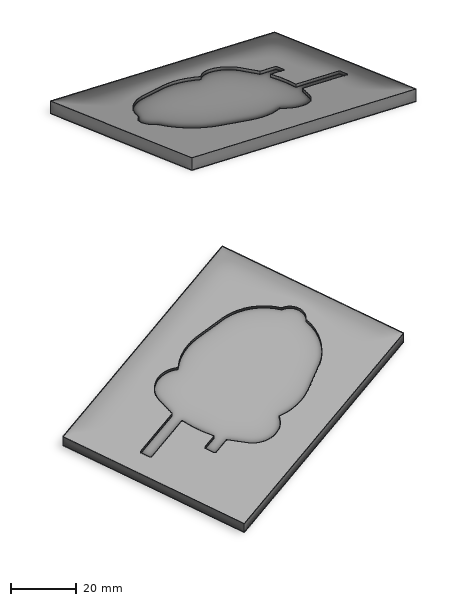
import cadquery as cq

PLATE_WIDTH = 66.0
PLATE_LENGTH = 91.5
PLATE_THICKNESS = 4.1

RECESS_DEPTH = 1.0
ACORN_AXIS_X = -0.3

CAP_TOP = (0, 21.0)
CAP_TOP_EDGE = (9.9, 19.9)
CAP_SHOULDER = (16.4, 17.3)
CAP_WIDEST = (21.3, 9.6)
NECK = (18.4, 3.1)
NUT_WIDEST = (20.7, -5.0)
NUT_SIDE_TOP = (20.1, -10.8)
NUT_SIDE_BOTTOM = (17.4, -21.9)
NUT_BELLY = (12.7, -29.6)
TIP_EDGE = (4.4, -34.4)
TIP_BOTTOM = (0, -37.1)

CHANNEL_WIDTH = 4.0
CHANNEL_OFFSET = CAP_TOP_EDGE[0] - CHANNEL_WIDTH / 2
SHORT_CHANNEL_TOP = 26.35
LONG_CHANNEL_TOP = 38.4
CHANNEL_CORNER_RADIUS = 0.5
CHANNEL_BOTTOM = CAP_WIDEST[1]


def side_point(point, side):
    """Place a half-outline point on the left (-1) or right (+1) of the axis."""
    distance, y = point
    return (ACORN_AXIS_X + side * distance, y)


def acorn():
    """Solid with the outline of the acorn, as deep as the recess."""

    def right(point):
        return side_point(point, 1)

    def left(point):
        return side_point(point, -1)

    outline = (
        cq.Workplane("XY")
        .moveTo(*left(CAP_TOP_EDGE))
        .threePointArc(right(CAP_TOP), right(CAP_TOP_EDGE))
        .lineTo(*right(CAP_SHOULDER))
        .threePointArc(right(CAP_WIDEST), right(NECK))
        .threePointArc(right(NUT_WIDEST), right(NUT_SIDE_TOP))
        .lineTo(*right(NUT_SIDE_BOTTOM))
        .threePointArc(right(NUT_BELLY), right(TIP_EDGE))
        .threePointArc(right(TIP_BOTTOM), left(TIP_EDGE))
        .threePointArc(left(NUT_BELLY), left(NUT_SIDE_BOTTOM))
        .lineTo(*left(NUT_SIDE_TOP))
        .threePointArc(left(NUT_WIDEST), left(NECK))
        .threePointArc(left(CAP_WIDEST), left(CAP_SHOULDER))
        .close()
    )
    return outline.extrude(RECESS_DEPTH)


def channel(side, top_y):
    """Straight channel with a rounded upper end, reaching down into the cap."""
    center = side_point((CHANNEL_OFFSET, (CHANNEL_BOTTOM + top_y) / 2), side)
    return (
        cq.Workplane("XY")
        .center(*center)
        .rect(CHANNEL_WIDTH, top_y - CHANNEL_BOTTOM)
        .extrude(RECESS_DEPTH)
        .faces(">Y")
        .edges("|Z")
        .fillet(CHANNEL_CORNER_RADIUS)
    )


plate = cq.Workplane("XY").box(
    PLATE_WIDTH, PLATE_LENGTH, PLATE_THICKNESS, centered=(True, True, False)
)
recess = acorn().union(channel(-1, SHORT_CHANNEL_TOP)).union(channel(1, LONG_CHANNEL_TOP))
result = plate.cut(recess.translate((0, 0, PLATE_THICKNESS - RECESS_DEPTH)))